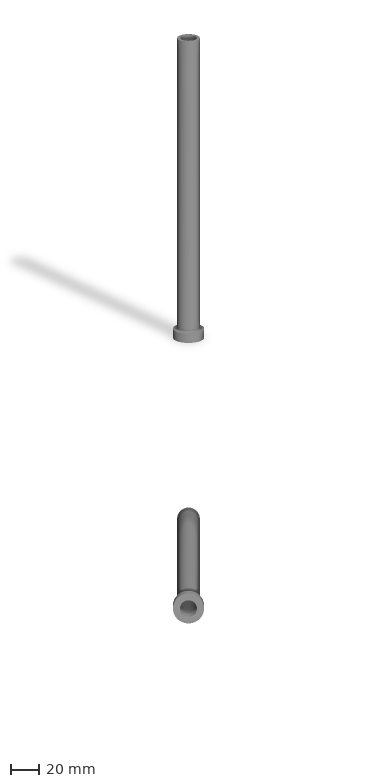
import cadquery as cq

total_length = 225.0
head_diameter = 22.0
head_height = 7.0
tube_diameter = 16.0
bore_diameter = 12.0
neck_fillet = 0.8

head = cq.Workplane("XY").circle(head_diameter / 2).extrude(head_height)

tube = cq.Workplane("XY").circle(tube_diameter / 2).extrude(total_length)
body = head.union(tube)

head_top = body.faces(">Z[-2]")
neck_edge = head_top.edges(cq.selectors.RadiusNthSelector(0))
body = neck_edge.fillet(neck_fillet)

bore = cq.Workplane("XY").circle(bore_diameter / 2).extrude(total_length)
result = body.cut(bore)